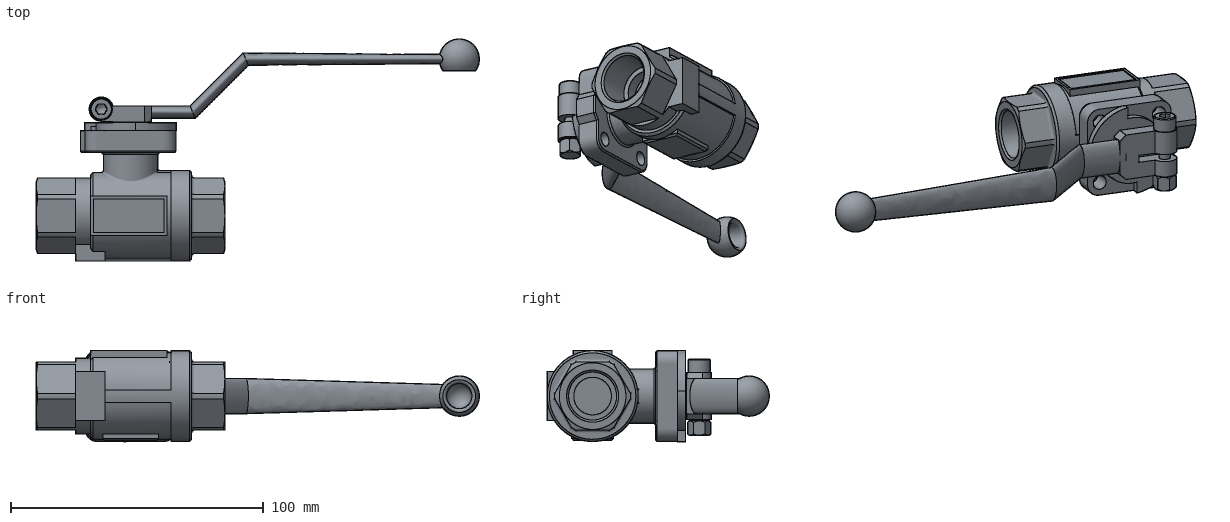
import cadquery as cq
import math


overall_length = 175.49
lever_top_y = 70.0
match_tolerance = 0.01

end_to_end = 74.8
half_length = end_to_end / 2
hex_flats = 27.0
hex_turned_radius = 15.0
end_chamfer_length = 0.6
end_face_radius = 13.2
collar_radius = 15.0
collar_start_x = -21.7
shell_start_x = -15.8
shell_radius = 17.2
shell_chamfer = 1.0
flange_start_x = 16.1
flange_end_x = 24.2
flange_radius = 18.0
flange_chamfer = 0.9
hex_root_fillet = 1.1
seam_rib_width = 4.9

pad_half_width = 7.75
pad_end_x = 14.5
pad_top_z = 18.145
pad_panel_margin = 1.2
pad_panel_depth = 0.4
lower_pad_half_length = 11.0
lower_pad_half_width = 8.3
lower_pad_z = -17.5
lower_pad_chamfer = 0.8
block_end_x = -10.1
block_half_height = 9.75

thread_radius = 9.5
thread_depth = 15.0
thread_chamfer = 0.8
port_radius = 7.45
port_depth = 20.0

stem_radius = 10.8
stem_root_fillet = 0.7
stem_flare = 0.7
plate_start_y = 24.95
plate_end_y = 33.7
plate_side = 36.0
plate_corner_radius = 5.0
plate_chamfer = 0.6
lug_reach = 1.9
lug_tip_half_width = 3.7
lug_root_half_width = 6.3
bolt_circle = 36.0
bolt_hole_diameter = 5.6

disc_end_y = 36.85
disc_radius = 13.7
stop_reach = 18.145
stop_setback = 2.0
stop_radius = math.hypot(stop_reach, stop_setback)
nib_start_x = -15.6
nib_thickness = 1.6
nib_top_z = 1.7

clamp_start_y = 37.2
clamp_end_y = 43.45
clamp_half_height = 9.3
clamp_end_x = 5.6
clamp_tip_x = 8.2
slit_top_z = 0.0
slit_bottom_z = -2.9
hub_radius = 7.0
screw_x = -11.6
screw_y = 42.2
barrel_radius = 4.8
screw_radius = 2.2
head_radius = 4.4
head_length = 5.4
head_chamfer = 0.4
socket_flats = 4.0
socket_depth = 2.0
socket_point_depth = 1.2
nut_flats = 8.0
nut_length = 5.9
nut_gap = 0.4
nut_turned_radius = 4.6
nut_chamfer = 0.7

arm_half_width = 7.0
arm_half_thickness = 2.5
arm_tip_half_width = 4.6
arm_tip_half_thickness = 1.9
arm_low_y = 41.0
arm_bend_x = 24.6
arm_bend_angle = 45.0
knob_radius = 8.0
knob_x = overall_length - half_length - knob_radius
knob_y = lever_top_y - knob_radius
knob_face_y = 57.3
knob_cavity_radius = 5.0
knob_mouth_fillet = 1.3


def x_cylinder(start, end, radius):
    return cq.Workplane("YZ").workplane(offset=start).circle(radius).extrude(end - start)


def y_cylinder(start, end, radius):
    return cq.Workplane("XZ").workplane(offset=-start).circle(radius).extrude(start - end)


def z_cylinder(x, y, start, end, radius):
    return cq.Workplane("XY", origin=(x, y, start)).circle(radius).extrude(end - start)


def block(x_range, y_range, z_range):
    corners = list(zip(x_range, y_range, z_range))
    sizes = [high - low for low, high in zip(*corners)]
    return cq.Workplane("XY").box(*sizes, centered=False).translate(corners[0])


def hex_across_corners(flats):
    return flats / math.cos(math.pi / 6)


def fillet_edges(solid, belongs, radius):
    """Fillet the edges of the solid that the function belongs picks out."""
    edges = [edge for edge in solid.edges().vals() if belongs(edge)]
    return solid.newObject(edges).fillet(radius)


def hexagon_bar():
    """Wrench hexagon over the full length, with turned corners and chamfered ends."""
    hexagon = cq.Workplane("YZ").workplane(offset=-half_length)
    hexagon = hexagon.polygon(6, hex_across_corners(hex_flats)).extrude(end_to_end)
    turned = x_cylinder(-half_length, half_length, hex_turned_radius)
    turned = turned.edges().chamfer(end_chamfer_length, hex_turned_radius - end_face_radius)
    return hexagon.intersect(turned)


def body_shell():
    """Turned body: collar, main shell and end flange."""
    collar = x_cylinder(collar_start_x, flange_start_x, collar_radius)
    shell = x_cylinder(shell_start_x, flange_start_x, shell_radius)
    shell = shell.faces("<X").edges().chamfer(shell_chamfer)
    flange = x_cylinder(flange_start_x, flange_end_x, flange_radius)
    flange = flange.faces(">X").edges().chamfer(flange_chamfer)
    return collar.union(shell).union(flange)


def on_hex_root(edge):
    """True for the edges where the wrench hexagon leaves the flange end face."""
    center = edge.Center()
    on_flange_face = abs(center.x - flange_end_x) < match_tolerance
    off_axis = math.hypot(center.y, center.z) > hex_flats / 4
    return on_flange_face and off_axis


def seam_rib():
    """Raised strips into the flange: both sides beyond the stem axis, only -Y before it."""
    half_width = seam_rib_width / 2
    rear = block((0, flange_start_x), (-flange_radius, flange_radius), (-half_width, half_width))
    front = block((collar_start_x, 0), (-flange_radius, 0), (-half_width, half_width))
    envelope = x_cylinder(collar_start_x, flange_start_x, flange_radius)
    return rear.union(front).intersect(envelope)


def upper_pad():
    """Flat pad on +Z with a shallow sunk panel."""
    pad = block((shell_start_x, pad_end_x), (-pad_half_width, pad_half_width), (0, pad_top_z))
    panel = block(
        (shell_start_x + pad_panel_margin, pad_end_x - pad_panel_margin),
        (pad_panel_margin - pad_half_width, pad_half_width - pad_panel_margin),
        (pad_top_z - pad_panel_depth, pad_top_z),
    )
    return pad.cut(panel)


def lower_pad():
    """Shallow pad on -Z with a chamfered rim."""
    pad = block(
        (-lower_pad_half_length, lower_pad_half_length),
        (-lower_pad_half_width, lower_pad_half_width),
        (lower_pad_z, 0),
    )
    return pad.faces("<Z").edges().chamfer(lower_pad_chamfer)


def stop_block():
    """Rectangular block that stands out from the collar and shell on -Y."""
    return block(
        (collar_start_x, block_end_x),
        (-flange_radius, 0),
        (-block_half_height, block_half_height),
    )


def connection_bore(side):
    """Threaded socket and narrower blind port, on the end given by side (-1 or 1)."""
    profile = [
        (half_length, 0),
        (half_length, thread_radius + thread_chamfer),
        (half_length - thread_chamfer, thread_radius),
        (half_length - thread_depth, thread_radius),
        (half_length - thread_depth, port_radius),
        (half_length - port_depth, port_radius),
        (half_length - port_depth, 0),
    ]
    points = [(side * x, radius) for x, radius in profile]
    return cq.Workplane("XY").polyline(points).close().revolve(360, (0, 0, 0), (1, 0, 0))


def stem():
    """Round stem, flared where it meets the mounting plate."""
    shaft = y_cylinder(0, plate_start_y, stem_radius)
    flare_start = cq.Vector(0, plate_start_y - stem_flare, 0)
    toward_plate = cq.Vector(0, 1, 0)
    flare = cq.Solid.makeCone(stem_radius, stem_radius + stem_flare, stem_flare, flare_start, toward_plate)
    return shaft.union(cq.Workplane(flare))


def on_stem_root(edge):
    """True for the edges where the stem leaves the body shell."""
    middle = edge.positionAt(0.5)
    on_stem = abs(math.hypot(middle.x, middle.z) - stem_radius) < match_tolerance
    return on_stem and 0 < middle.y < flange_radius + match_tolerance


def mounting_plate():
    """Square plate with rounded corners, four bolt holes and a tapered lug on -X."""
    thickness = plate_end_y - plate_start_y
    half_side = plate_side / 2
    base = cq.Workplane("XZ").workplane(offset=-plate_end_y)
    plate = base.rect(plate_side, plate_side).extrude(thickness).edges("|Y").fillet(plate_corner_radius)
    lug_outline = [
        (0, lug_root_half_width),
        (-half_side, lug_root_half_width),
        (-half_side - lug_reach, lug_tip_half_width),
        (-half_side - lug_reach, -lug_tip_half_width),
        (-half_side, -lug_root_half_width),
        (0, -lug_root_half_width),
    ]
    plate = plate.union(base.polyline(lug_outline).close().extrude(thickness))
    plate = plate.faces("<Y").edges().chamfer(plate_chamfer)
    hole_pitch = bolt_circle / math.sqrt(2)
    holes = base.rect(hole_pitch, hole_pitch, forConstruction=True).vertices()
    return plate.cut(holes.circle(bolt_hole_diameter / 2).extrude(thickness))


def stop_disc():
    """Round disc with two opposite quarter sectors that limit the turn and a low nib on -X."""
    disc = y_cylinder(plate_end_y, disc_end_y, disc_radius)
    ring = y_cylinder(plate_end_y, disc_end_y, stop_radius)
    reach = (stop_setback, stop_radius)
    opposite = (-stop_radius, -stop_setback)
    for corner in (reach, opposite):
        disc = disc.union(ring.intersect(block(corner, (plate_end_y, disc_end_y), corner)))
    nib = block(
        (nib_start_x, -disc_radius / 2),
        (plate_end_y, plate_end_y + nib_thickness),
        (-stop_setback, nib_top_z),
    )
    return disc.union(nib)


def lever_clamp():
    """Clamp bar with a screw barrel at its free end, slit across the barrel."""
    outline = [
        (screw_x, -clamp_half_height),
        (clamp_end_x, -clamp_half_height),
        (clamp_tip_x, -arm_half_width),
        (clamp_tip_x, arm_half_width),
        (clamp_end_x, clamp_half_height),
        (screw_x, clamp_half_height),
    ]
    bar = cq.Workplane("XZ").workplane(offset=-clamp_end_y).polyline(outline).close()
    bar = bar.extrude(clamp_end_y - clamp_start_y)
    barrel = z_cylinder(screw_x, screw_y, -clamp_half_height, clamp_half_height, barrel_radius)
    slit = block(
        (screw_x - barrel_radius, 0),
        (screw_y - barrel_radius, screw_y + barrel_radius),
        (slit_bottom_z, slit_top_z),
    )
    hub = y_cylinder(disc_end_y, clamp_start_y, hub_radius)
    return bar.union(barrel).cut(slit).union(hub)


def clamp_screw():
    """Socket head screw on top of the barrel and hexagon nut below it."""
    head_end_z = clamp_half_height + head_length
    shank = z_cylinder(screw_x, screw_y, -clamp_half_height, clamp_half_height, screw_radius)
    head = z_cylinder(screw_x, screw_y, clamp_half_height, head_end_z, head_radius)
    head = head.faces(">Z").edges().chamfer(head_chamfer)
    socket = cq.Workplane("XY", origin=(screw_x, screw_y, head_end_z))
    socket = socket.polygon(6, hex_across_corners(socket_flats)).extrude(-socket_depth)
    floor_radius = hex_across_corners(socket_flats) / 2
    floor_center = cq.Vector(screw_x, screw_y, head_end_z - socket_depth)
    point = cq.Solid.makeCone(floor_radius, 0, socket_point_depth, floor_center, cq.Vector(0, 0, -1))
    socket = socket.union(cq.Workplane(point))
    nut_start_z = -clamp_half_height - nut_gap
    nut_end_z = nut_start_z - nut_length
    nut = cq.Workplane("XY", origin=(screw_x, screw_y, nut_end_z))
    nut = nut.transformed(rotate=(0, 0, 90)).polygon(6, hex_across_corners(nut_flats)).extrude(nut_length)
    turned = z_cylinder(screw_x, screw_y, nut_end_z, nut_start_z, nut_turned_radius)
    nut = nut.intersect(turned.edges().chamfer(nut_chamfer))
    washer = z_cylinder(screw_x, screw_y, nut_start_z, -clamp_half_height, nut_flats / 2)
    return shank.union(head.cut(socket)).union(washer).union(nut)


def arm_section(x, y, tilt, half_width, half_thickness):
    """Elliptical section of the arm, in a plane whose normal is tilted from X toward Y."""
    angle = math.radians(tilt)
    plane = cq.Plane(origin=(x, y, 0), xDir=(0, 0, 1), normal=(math.cos(angle), math.sin(angle), 0))
    return cq.Workplane(plane).ellipse(half_width, half_thickness / math.cos(angle)).wires().val()


def lever_arm():
    """Cranked arm: two mitred bends, then a taper to the knob."""
    rise = knob_y - arm_low_y
    miter = arm_bend_angle / 2
    upper_bend_x = arm_bend_x + rise / math.tan(math.radians(arm_bend_angle))
    sections = [
        arm_section(clamp_end_x, arm_low_y, 0, arm_half_width, arm_half_thickness),
        arm_section(arm_bend_x, arm_low_y, miter, arm_half_width, arm_half_thickness),
        arm_section(upper_bend_x, knob_y, miter, arm_half_width, arm_half_thickness),
        arm_section(knob_x - knob_cavity_radius, knob_y, 0, arm_tip_half_width, arm_tip_half_thickness),
    ]
    return cq.Workplane(cq.Solid.makeLoft(sections, True))


def knob_cavity():
    """Straight mouth that ends in a half-sphere around the knob center."""
    bottom = cq.Workplane("XY").sphere(knob_cavity_radius)
    mouth = y_cylinder(knob_face_y - knob_y, 0, knob_cavity_radius)
    return bottom.union(mouth).translate((knob_x, knob_y, 0))


def knob():
    """Hollow ball knob, cut flat on -Y, with a rounded cavity mouth."""
    ball = cq.Workplane("XY").sphere(knob_radius).translate((knob_x, knob_y, 0))
    below_face = block(
        (knob_x - knob_radius, knob_x + knob_radius),
        (knob_y - knob_radius, knob_face_y),
        (-knob_radius, knob_radius),
    )
    hollow = ball.cut(below_face).cut(knob_cavity())
    mouth_edge = cq.selectors.RadiusNthSelector(0)
    return hollow.faces("<Y").edges(mouth_edge).fillet(knob_mouth_fillet)


body = hexagon_bar().union(body_shell())
body = fillet_edges(body, on_hex_root, hex_root_fillet)
body = body.union(seam_rib()).union(stop_block()).union(upper_pad()).union(lower_pad()).union(stem())
body = fillet_edges(body, on_stem_root, stem_root_fillet)
for side in (-1, 1):
    body = body.cut(connection_bore(side))

lever = lever_clamp().union(clamp_screw()).union(lever_arm()).union(knob()).cut(knob_cavity())

result = body.union(mounting_plate()).union(stop_disc()).union(lever)